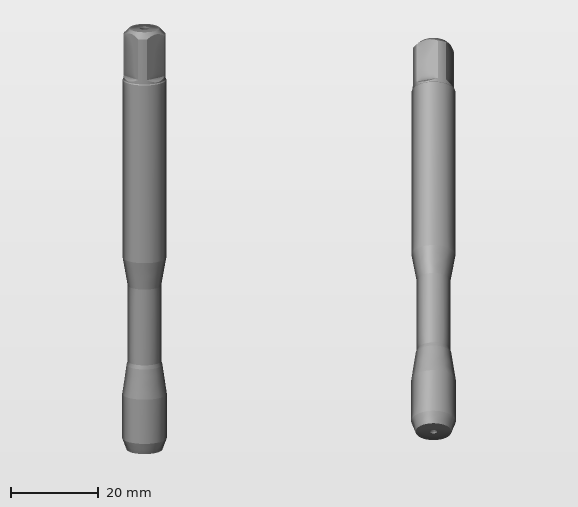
import cadquery as cq

total_length = 100.0
coolant_bore_diameter = 1.7
countersink_diameter = 2.3

head_diameter = 10.2
head_end_diameter = 8.2
lead_length = 2.7
cylinder_top = 13.2
head_length = 20.1

shank_diameter = 10.0
neck_diameter = 7.7
neck_bottom = 21.0
neck_top = 39.0
upper_taper_top = 45.6

square_width = 8.1
square_corner_diameter = 9.6
square_bottom = 89.0
shank_top = 87.8
end_face_diameter = 6.9

shoulder_chamfer = (shank_diameter - square_corner_diameter) / 2
end_chamfer = (square_corner_diameter - end_face_diameter) / 2


def turned(sections):
    """Solid of revolution about Z through (diameter, height) sections, bottom to top."""
    bottom = sections[0][1]
    top = sections[-1][1]
    rim = [(diameter / 2, height) for diameter, height in sections]
    profile = cq.Workplane("XZ").polyline([(0, bottom), *rim, (0, top)]).close()
    return profile.revolve(360, (0, 0), (0, 1))


def coolant_bore():
    """Axial bore running the full length of the tool."""
    return cq.Workplane("XY").circle(coolant_bore_diameter / 2).extrude(total_length)


def bore_countersink():
    """45 degree countersink where the bore opens in the end face of the square."""
    depth = (countersink_diameter - coolant_bore_diameter) / 2
    return turned([
        (coolant_bore_diameter, total_length - depth),
        (countersink_diameter, total_length),
    ])


def square_envelope():
    """Square prism that flares at 45 degrees below the flats, clear of the shank."""
    flare = shank_diameter / 2
    wide_square = square_width + 2 * flare
    flare_bottom = square_bottom - flare
    prism = (
        cq.Workplane("XY", origin=(0, 0, square_bottom))
        .rect(square_width, square_width)
        .extrude(total_length - square_bottom)
    )
    ramp = (
        cq.Workplane("XY", origin=(0, 0, flare_bottom))
        .rect(wide_square, wide_square)
        .workplane(offset=flare)
        .rect(square_width, square_width)
        .loft(ruled=True)
    )
    body = cq.Workplane("XY").rect(wide_square, wide_square).extrude(flare_bottom)
    return body.union(ramp).union(prism)


def make_cutting_head():
    blank = turned([
        (head_end_diameter, 0),
        (head_diameter, lead_length),
        (head_diameter, cylinder_top),
        (head_end_diameter, head_length),
    ])
    return blank.cut(coolant_bore())


def make_shank():
    blank = turned([
        (head_end_diameter, head_length),
        (neck_diameter, neck_bottom),
        (neck_diameter, neck_top),
        (shank_diameter, upper_taper_top),
        (shank_diameter, shank_top),
        (square_corner_diameter, shank_top + shoulder_chamfer),
        (square_corner_diameter, total_length - end_chamfer),
        (end_face_diameter, total_length),
    ])
    squared = blank.intersect(square_envelope())
    return squared.cut(coolant_bore()).cut(bore_countersink())


cutting_head = make_cutting_head()
shank = make_shank()

result = cq.Compound.makeCompound([cutting_head.val(), shank.val()])